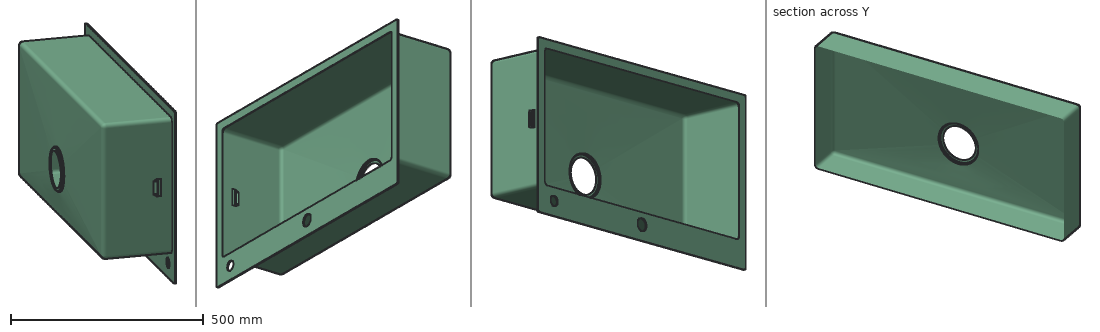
import cadquery as cq
import math

rim_length = 800.0
rim_width = 470.0
rim_thickness = 4.0
rim_corner_radius = 5.0

sheet = 1.5
bowl_length = 753.0
bowl_width = 371.0
bowl_depth = 193.5
bowl_center_z = 25.75
bowl_radius = 11.5

total_depth = 206.7
drain_z = -24.5
slope_drop = 7.5
slope_end_radius = 60.0
drain_ring_radius = 57.0
drain_ring_rise = 1.2
drain_hole_radius = 49.0

tap_hole_diameter = 35.0
tap_hole_position = (0.0, -191.5)
small_hole_diameter = 28.0
small_hole_position = (339.0, -194.5)

overflow_length = 47.0
hood_mouth_y = -45.0
hood_foot_y = -55.0
hood_reach = 8.0
hood_end_chamfer = 2.0
hood_foot_length = 36.0
lip_top_y = -34.5
lip_bottom_y = -42.0
lip_reach = 2.5

wall_x = bowl_length / 2


def block(length, depth, width, center_z):
    """Box centred on X = 0, running from Y = 0 to Y = -depth."""
    return cq.Workplane("XY").box(length, depth, width).translate((0, -depth / 2, center_z))


def drain_ring(floor_depth, offset):
    """Solid stepped ring on the drain axis: steep outer wall, then a shallow cone to the hole."""
    ring_depth = total_depth - offset
    profile = [
        (0, -floor_depth + slope_drop),
        (slope_end_radius, -floor_depth + slope_drop),
        (slope_end_radius, -floor_depth),
        (drain_ring_radius, -ring_depth + drain_ring_rise),
        (drain_hole_radius, -ring_depth),
        (0, -ring_depth),
    ]
    outline = cq.Workplane("XY").polyline(profile).close()
    return outline.revolve(360, (0, 0, 0), (0, 1, 0)).translate((0, 0, drain_z))


def sloped_floor(length, width, depth):
    """Ruled transition from a rectangle at the given depth to the circle around the drain."""
    corners = [
        (sx * length / 2, bowl_center_z + sz * width / 2)
        for sx, sz in ((1, 1), (-1, 1), (-1, -1), (1, -1))
    ]
    angles = [math.atan2(z - drain_z, x) % (2 * math.pi) for x, z in corners]

    def on_circle(angle):
        return cq.Vector(
            slope_end_radius * math.cos(angle),
            -depth - slope_drop,
            drain_z + slope_end_radius * math.sin(angle),
        )

    sides = []
    arcs = []
    for i in range(4):
        j = (i + 1) % 4
        start = cq.Vector(corners[i][0], -depth, corners[i][1])
        end = cq.Vector(corners[j][0], -depth, corners[j][1])
        sides.append(cq.Edge.makeLine(start, end))
        sweep = (angles[j] - angles[i]) % (2 * math.pi)
        middle = on_circle(angles[i] + sweep / 2)
        arcs.append(cq.Edge.makeThreePointArc(on_circle(angles[i]), middle, on_circle(angles[j])))
    rectangle = cq.Wire.assembleEdges(sides)
    circle = cq.Wire.assembleEdges(arcs)
    return cq.Workplane(cq.Solid.makeLoft([rectangle, circle], True))


def bowl_form(offset):
    """Solid bowl shape, shrunk inwards from the outer skin by the given offset."""
    radius = bowl_radius - offset
    length = bowl_length - 2 * offset
    width = bowl_width - 2 * offset
    depth = bowl_depth - offset
    body = block(length, depth, width, bowl_center_z)
    body = body.edges("|Y or <Y").fillet(radius)
    body = body.union(sloped_floor(length - 2 * radius, width - 2 * radius, depth))
    return body.union(drain_ring(depth + slope_drop, offset))


def round_hole(diameter, position, depth):
    """Cylinder from the rim back face, centred at the given (x, z) position."""
    x, z = position
    return cq.Workplane("XZ", origin=(x, 0, z)).circle(diameter / 2).extrude(depth)


def rim():
    """Flat flange with rounded corners and the two tap-side holes."""
    plate = block(rim_length, rim_thickness, rim_width, 0).edges("|Y").fillet(rim_corner_radius)
    plate = plate.cut(round_hole(tap_hole_diameter, tap_hole_position, rim_thickness))
    return plate.cut(round_hole(small_hole_diameter, small_hole_position, rim_thickness))


def overflow_prism(points, length):
    """XY outline extruded along Z, centred on the bowl."""
    base = cq.Workplane("XY", origin=(0, 0, bowl_center_z - length / 2))
    return base.polyline(points).close().extrude(length)


def overflow_hood():
    """Wedge standing out from the wall, its ends tapering from the mouth to the foot."""
    root_x = wall_x - sheet
    outline = [
        (root_x, hood_mouth_y),
        (wall_x + hood_reach, hood_mouth_y),
        (wall_x + hood_reach, hood_mouth_y - sheet),
        (wall_x, hood_foot_y),
        (root_x, hood_foot_y),
    ]
    hood = overflow_prism(outline, overflow_length)
    hood = hood.edges("|Y and >X").chamfer(hood_end_chamfer)
    taper = [
        (hood_mouth_y, bowl_center_z - overflow_length / 2),
        (hood_mouth_y, bowl_center_z + overflow_length / 2),
        (hood_foot_y, bowl_center_z + hood_foot_length / 2),
        (hood_foot_y, bowl_center_z - hood_foot_length / 2),
    ]
    envelope = cq.Workplane("YZ", origin=(root_x, 0, 0)).polyline(taper).close()
    return hood.intersect(envelope.extrude(sheet + hood_reach))


def overflow_opening():
    """Wedge-shaped passage from the bowl to the hood mouth, which faces the rim."""
    inner_x = wall_x - 2 * sheet
    outline = [
        (inner_x, hood_mouth_y),
        (wall_x + hood_reach - 2 * sheet, hood_mouth_y),
        (wall_x - sheet, hood_foot_y + sheet),
        (inner_x, hood_foot_y + sheet),
    ]
    return overflow_prism(outline, hood_foot_length - 2 * sheet)


def overflow_lip():
    """Low rectangular pad between the hood and the rim."""
    root_x = wall_x - sheet
    outline = [
        (root_x, lip_top_y),
        (wall_x + lip_reach, lip_top_y),
        (wall_x + lip_reach, lip_bottom_y),
        (root_x, lip_bottom_y),
    ]
    return overflow_prism(outline, overflow_length)


result = rim().union(bowl_form(0)).cut(bowl_form(sheet))
result = result.cut(round_hole(2 * drain_hole_radius, (0, drain_z), total_depth))
result = result.union(overflow_hood()).union(overflow_lip()).cut(overflow_opening())